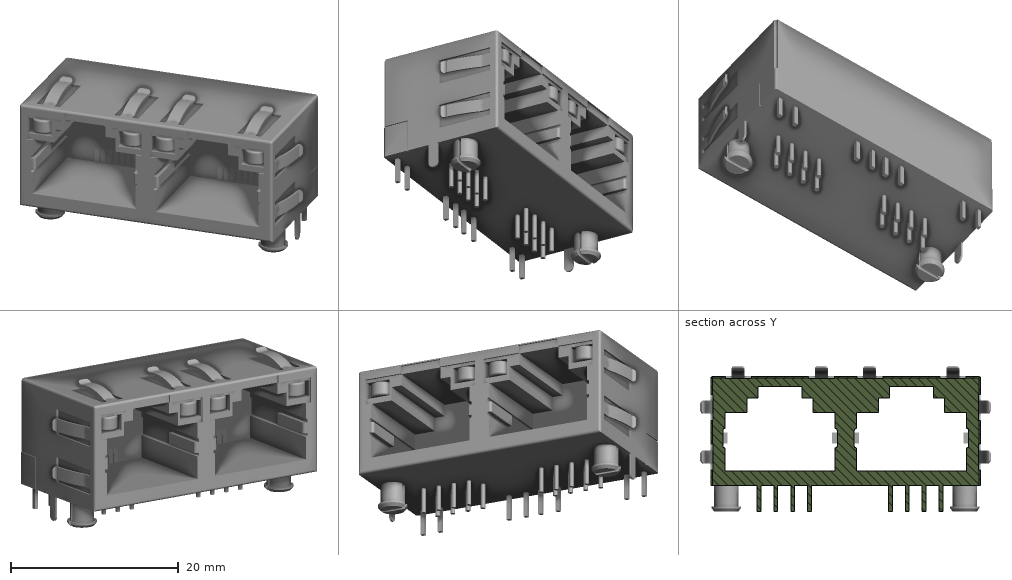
import cadquery as cq
SHELL_WIDTH = 32.3
SHELL_DEPTH = 15.75
SHELL_HEIGHT = 13.1
SHEET = 0.25
BEND_RADIUS = 0.3
PIN_LENGTH = 3.05
SIDES = (-1, 1)

PORT_CENTRES = (-7.85, 7.85)
PORT_HALF_WIDTH = 6.55
PORT_FLOOR_Z = 1.8
PORT_DEPTH = 11.8
LED_ZONE_HALF_WIDTH = 7.3
LED_ZONE_BOTTOM_Z = 8.75
LED_ZONE_TOP_Z = 11.87
STEP_HALF_WIDTH = 3.92
STEP_Z = 10.45
LATCH_HALF_WIDTH = 2.6
LATCH_TOP_Z = 12.85

GROOVE_DEPTH = 0.25
GROOVE_BOTTOM_Z = 4.6
GROOVE_TOP_Z = 6.85
GROOVE_CORNER = 0.2
TONGUE_BOTTOM_Z = 5.05
TONGUE_TOP_Z = 6.35
TONGUE_RISE = 0.3
TONGUE_LENGTH = 5.55

SPRING_WIDTH = 1.55
SPRING_TIP_RADIUS = 0.4
SPRING_TIP_SIZE = 0.2
SPRING_BOW_Y = 4.15
SPRING_CREST_Y = 6.45
SPRING_CURL_Y = 7.0
SPRING_CURL_RISE = 0.1
SPRING_ROOT_RISE = 0.05
TOP_SPRING_ROOT_Y = 1.25
TOP_SPRING_ROOT_BEND_Y = 1.77
TOP_SPRING_BOW_HEIGHT = 0.85
TOP_SPRING_CREST_HEIGHT = 0.85
TOP_SPRING_TIP_Y = 7.3
SIDE_SPRING_ROOT_Y = 1.87
SIDE_SPRING_ROOT_BEND_Y = 2.22
SIDE_SPRING_BOW_HEIGHT = 0.55
SIDE_SPRING_CREST_HEIGHT = 0.87
SIDE_SPRING_TIP_Y = 7.15
SPRING_RISE = (34.72 - SHELL_WIDTH) / 2
WINDOW_WIDTH = 3.05
WINDOW_FRONT_Y = 1.05
WINDOW_REAR_Y = 8.05
TOP_SPRING_OFFSET = 4.95
SIDE_SPRING_Z = (3.45, 9.37)

FLAP_FRONT_Y = 12.55
FLAP_TOP_Z = 3.92
FLAP_GAP = 0.1
LEG_Y = 8.9
LEG_WIDTH = 1.2

LED_OFFSET = 5.73
LED_WINDOW_WIDTH = 3.0
LED_WINDOW_BOTTOM_Z = 9.48
LED_WINDOW_TOP_Z = 11.5
LENS_RADIUS = 1.4
LENS_BOTTOM_Z = 9.7
LENS_HEIGHT = 1.75
LENS_EDGE_RADIUS = 0.25

CONTACT_COUNT = 8
CONTACT_PITCH = 0.8
CONTACT_WIDTH = 0.6
CONTACT_HEIGHT = 1.77
CONTACT_FOOT = 0.17

ROUND_PIN_COUNT = 8
ROUND_PIN_PITCH = 1.0
ROUND_PIN_DIAMETER = 0.55
ROUND_PIN_ROWS_Y = (8.0, 9.75)
SQUARE_PIN_SIZE = 0.5
SQUARE_PIN_Y = 14.6
LED_PIN_COUNT = 2
LED_PIN_PITCH = 2.3
PEG_X = 14.25
PEG_Y = 5.5
PEG_RADIUS = 1.45
PEG_BARB_RADIUS = 1.77
PEG_BARB_TOP_Z = -2.45
PEG_BARB_BOTTOM_Z = -2.7
PEG_SLOT = 0.45


def block(x0, x1, y0, y1, z0, z1):
    """Box between two limits along each axis, given in either order."""
    size = (abs(x1 - x0), abs(y1 - y0), abs(z1 - z0))
    return cq.Workplane("XY").box(*size).translate(((x0 + x1) / 2, (y0 + y1) / 2, (z0 + z1) / 2))


def shell_interior():
    """Space enclosed by the shell; the bottom is open behind the front lip."""
    half = SHELL_WIDTH / 2 - SHEET
    rear = SHELL_DEPTH - SHEET
    main = block(-half, half, SHEET, rear, SHEET, SHELL_HEIGHT - SHEET)
    return main.union(block(-half, half, BEND_RADIUS, rear, 0, SHEET))


def port_groove(port_x, side, y0, y1):
    """Groove along one side wall of a port."""
    outer = PORT_HALF_WIDTH + GROOVE_DEPTH
    groove = block(0, outer, y0, y1, GROOVE_BOTTOM_Z, GROOVE_TOP_Z).edges("|Y and >X").fillet(GROOVE_CORNER)
    if side < 0:
        groove = groove.mirror("YZ")
    return groove.translate((port_x, 0, 0))



def plate_opening(port_x):
    """Opening in the front plate for one port, its two LEDs and its latch."""
    rear = SHEET
    opening = block(-PORT_HALF_WIDTH, PORT_HALF_WIDTH, 0, rear, PORT_FLOOR_Z, LED_ZONE_TOP_Z)
    opening = opening.union(
        block(-LED_ZONE_HALF_WIDTH, LED_ZONE_HALF_WIDTH, 0, rear, LED_ZONE_BOTTOM_Z, LED_ZONE_TOP_Z)
    )
    opening = opening.union(block(-LATCH_HALF_WIDTH, LATCH_HALF_WIDTH, 0, rear, PORT_FLOOR_Z, LATCH_TOP_Z))
    opening = opening.translate((port_x, 0, 0))
    for side in SIDES:
        opening = opening.union(port_groove(port_x, side, 0, rear))
    return opening


def tongue(port_x, side):
    """Strip bent in from the front plate, lying in a side groove of a port."""
    inner = PORT_HALF_WIDTH - TONGUE_RISE
    outer = PORT_HALF_WIDTH + GROOVE_DEPTH
    strip = block(inner, outer, 0, TONGUE_LENGTH, TONGUE_BOTTOM_Z, TONGUE_TOP_Z)
    strip = strip.edges("|Z and <X and <Y").fillet(BEND_RADIUS)
    if side < 0:
        strip = strip.mirror("YZ")
    return strip.translate((port_x, 0, 0))


def spring(root_y, root_bend_y, bow_height, crest_height, tip_y):
    """Bowed finger on the plane Z = 0: flat root, rising bow, then a tip curled up and rounded."""
    end_y = tip_y + SPRING_TIP_SIZE
    end_height = SPRING_RISE - SPRING_TIP_SIZE
    root_bend = (root_bend_y, SPRING_ROOT_RISE)
    root_middle = ((root_y + root_bend_y) / 2, SPRING_ROOT_RISE / 4)
    bow = (SPRING_BOW_Y, bow_height)
    crest = (SPRING_CREST_Y, crest_height)
    curl = (SPRING_CURL_Y, crest_height + SPRING_CURL_RISE)

    def under(point):
        return (point[0], point[1] - SHEET)

    finger = (
        cq.Workplane("YZ")
        .moveTo(WINDOW_FRONT_Y, 0)
        .lineTo(root_y, 0)
        .threePointArc(root_middle, root_bend)
        .threePointArc(bow, crest)
        .threePointArc(curl, (tip_y, SPRING_RISE))
        .lineTo(end_y, end_height)
        .threePointArc(under(curl), under(crest))
        .threePointArc(under(bow), under(root_bend))
        .threePointArc(under(root_middle), (root_y, -SHEET))
        .lineTo(WINDOW_FRONT_Y, -SHEET)
        .close()
        .extrude(SPRING_WIDTH / 2, both=True)
    )
    for side in SIDES:
        corner = (side * SPRING_WIDTH / 2, (tip_y + end_y) / 2, (SPRING_RISE + end_height) / 2)
        finger = finger.edges(cq.selectors.NearestToPointSelector(corner)).fillet(SPRING_TIP_RADIUS)
    return finger


def top_spring():
    return spring(
        TOP_SPRING_ROOT_Y,
        TOP_SPRING_ROOT_BEND_Y,
        TOP_SPRING_BOW_HEIGHT,
        TOP_SPRING_CREST_HEIGHT,
        TOP_SPRING_TIP_Y,
    )


def side_spring():
    return spring(
        SIDE_SPRING_ROOT_Y,
        SIDE_SPRING_ROOT_BEND_Y,
        SIDE_SPRING_BOW_HEIGHT,
        SIDE_SPRING_CREST_HEIGHT,
        SIDE_SPRING_TIP_Y,
    )


def spring_window():
    """Window in the sheet around a spring, on the plane Z = 0."""
    half = WINDOW_WIDTH / 2
    return block(-half, half, WINDOW_FRONT_Y, WINDOW_REAR_Y, -SHEET, 0)


def placed_on_shell(top_shape, side_shape):
    """Copies of one shape at every spring position on the top, and of another on both sides."""
    copies = []
    for port_x in PORT_CENTRES:
        for side in SIDES:
            copies.append(top_shape.translate((port_x + side * TOP_SPRING_OFFSET, 0, SHELL_HEIGHT)))
    for side in SIDES:
        turned = side_shape.rotate((0, 0, 0), (0, 1, 0), 90 * side)
        for z in SIDE_SPRING_Z:
            copies.append(turned.translate((side * SHELL_WIDTH / 2, 0, z)))
    return copies


def rear_corner_cuts(side):
    """Square notch above a rear flap and the narrow gap between the flap and the side sheet."""
    outer = side * SHELL_WIDTH / 2
    inner = outer - side * SHEET
    notch_x = outer - side * BEND_RADIUS
    notch_y = SHELL_DEPTH - BEND_RADIUS
    gap_y = FLAP_FRONT_Y - FLAP_GAP
    gap_z = FLAP_TOP_Z + FLAP_GAP
    notch = block(notch_x, outer, notch_y, SHELL_DEPTH, FLAP_TOP_Z, SHELL_HEIGHT)
    front_gap = block(inner, outer, gap_y, FLAP_FRONT_Y, 0, gap_z)
    top_gap = block(inner, outer, gap_y, SHELL_DEPTH - SHEET, FLAP_TOP_Z, gap_z)
    return notch.union(front_gap).union(top_gap)


def ground_leg(side):
    """Round-ended leg reaching down from a side sheet."""
    outer = side * SHELL_WIDTH / 2
    half = LEG_WIDTH / 2
    return (
        cq.Workplane("YZ", origin=(outer, 0, 0))
        .moveTo(LEG_Y - half, 0)
        .lineTo(LEG_Y - half, half - PIN_LENGTH)
        .threePointArc((LEG_Y, -PIN_LENGTH), (LEG_Y + half, half - PIN_LENGTH))
        .lineTo(LEG_Y + half, 0)
        .close()
        .extrude(-side * SHEET)
    )


def make_shell():
    half = SHELL_WIDTH / 2
    shell = block(-half, half, 0, SHELL_DEPTH, 0, SHELL_HEIGHT)
    shell = shell.edges("|Z or >Z or (<Z and <Y)").fillet(BEND_RADIUS)
    shell = shell.cut(shell_interior())
    for port_x in PORT_CENTRES:
        shell = shell.cut(plate_opening(port_x))
        for side in SIDES:
            shell = shell.union(tongue(port_x, side))
    for side in SIDES:
        shell = shell.cut(rear_corner_cuts(side))
        shell = shell.union(ground_leg(side))
    for window in placed_on_shell(spring_window(), spring_window()):
        shell = shell.cut(window)
    for finger in placed_on_shell(top_spring(), side_spring()):
        shell = shell.union(finger)
    return shell



def port_cavity(port_x):
    """Plug cavity, stepped in around the LEDs and narrowest at the latch."""
    front, rear = SHEET, PORT_DEPTH
    cavity = block(-PORT_HALF_WIDTH, PORT_HALF_WIDTH, front, rear, PORT_FLOOR_Z, LED_ZONE_BOTTOM_Z)
    cavity = cavity.union(block(-STEP_HALF_WIDTH, STEP_HALF_WIDTH, front, rear, PORT_FLOOR_Z, STEP_Z))
    cavity = cavity.union(
        block(-LATCH_HALF_WIDTH, LATCH_HALF_WIDTH, front, rear, PORT_FLOOR_Z, LED_ZONE_TOP_Z)
    )
    cavity = cavity.translate((port_x, 0, 0))
    for side in SIDES:
        cavity = cavity.union(port_groove(port_x, side, front, rear))
    return cavity


def led_window(x):
    half = LED_WINDOW_WIDTH / 2
    return block(x - half, x + half, SHEET, LENS_RADIUS, LED_WINDOW_BOTTOM_Z, LED_WINDOW_TOP_Z)


def led_lens(x):
    """Lens with rounded rims, half sunk in the back of its window and level with the shell front."""
    lens = cq.Workplane("XY").circle(LENS_RADIUS).extrude(LENS_HEIGHT).edges().fillet(LENS_EDGE_RADIUS)
    return lens.translate((x, LENS_RADIUS, LENS_BOTTOM_Z))


def contact(x):
    """Ramp leaning against the back wall of a port."""
    return (
        cq.Workplane("YZ")
        .moveTo(PORT_DEPTH, PORT_FLOOR_Z)
        .lineTo(PORT_DEPTH - CONTACT_FOOT, PORT_FLOOR_Z)
        .lineTo(PORT_DEPTH, PORT_FLOOR_Z + CONTACT_HEIGHT)
        .close()
        .extrude(CONTACT_WIDTH / 2, both=True)
        .translate((x, 0, 0))
    )


def row_positions(centre, count, pitch):
    """X positions of an evenly spaced row."""
    return [centre + (i - (count - 1) / 2) * pitch for i in range(count)]


def round_pin(x, y):
    return cq.Workplane("XY").center(x, y).circle(ROUND_PIN_DIAMETER / 2).extrude(-PIN_LENGTH)


def square_pin(x):
    outline = cq.Workplane("XY").center(x, SQUARE_PIN_Y).rect(SQUARE_PIN_SIZE, SQUARE_PIN_SIZE)
    return outline.extrude(-PIN_LENGTH)


def board_peg(x):
    """Barbed peg split by a slot along X."""
    peg = (
        cq.Workplane("XZ")
        .lineTo(PEG_RADIUS, 0)
        .lineTo(PEG_RADIUS, PEG_BARB_TOP_Z)
        .lineTo(PEG_BARB_RADIUS, PEG_BARB_TOP_Z)
        .lineTo(PEG_BARB_RADIUS, PEG_BARB_BOTTOM_Z)
        .lineTo(PEG_RADIUS, -PIN_LENGTH)
        .lineTo(0, -PIN_LENGTH)
        .close()
        .revolve(360, (0, 0, 0), (0, 1, 0))
    )
    slot = block(-PEG_BARB_RADIUS, PEG_BARB_RADIUS, -PEG_SLOT / 2, PEG_SLOT / 2, -PIN_LENGTH, 0)
    return peg.cut(slot).translate((x, PEG_Y, 0))


def make_housing():
    housing = shell_interior()
    for port_x in PORT_CENTRES:
        housing = housing.cut(port_cavity(port_x))
        for x in row_positions(port_x, CONTACT_COUNT, CONTACT_PITCH):
            housing = housing.union(contact(x))
        for side in SIDES:
            led_x = port_x + side * LED_OFFSET
            housing = housing.cut(led_window(led_x)).union(led_lens(led_x))
            for x in row_positions(led_x, LED_PIN_COUNT, LED_PIN_PITCH):
                housing = housing.union(square_pin(x))
        for i, x in enumerate(row_positions(port_x, ROUND_PIN_COUNT, ROUND_PIN_PITCH)):
            row_y = ROUND_PIN_ROWS_Y[i % len(ROUND_PIN_ROWS_Y)]
            housing = housing.union(round_pin(x, row_y))
    for side in SIDES:
        housing = housing.union(board_peg(side * PEG_X))
    return housing


shell = make_shell()
housing = make_housing()
result = cq.Compound.makeCompound([shell.val(), housing.val()])